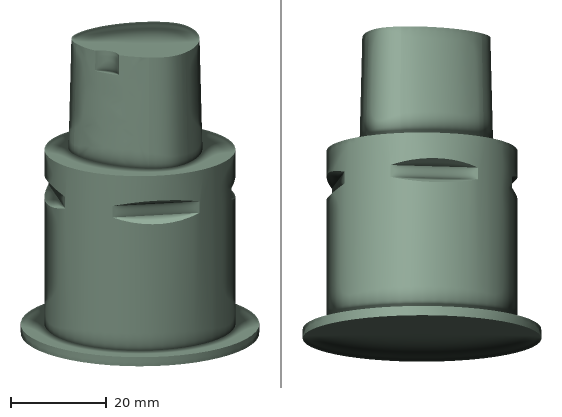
import cadquery as cq
import math

total_height = 64.0
flange_diameter = 50.0
flange_thickness = 2.0
body_diameter = 40.0
body_top = 40.0

shank_width = 28.0
lobe_rise = 0.95
lobe_count = 3
shank_taper = 1 / 20
points_per_face = 9

notch_radius = 3.7
notch_depth = 4.35
notch_inner_y = -10.8

slot_count = 4
slot_first_angle = 45.0
slot_floor_distance = 17.7
slot_floor_height = 2.5
slot_center_z = 32.0
slot_wall_angle = 30.0
slot_overrun = 0.65


def shank_point(width, angle, z):
    """Point of the lobed curve whose outward normal points along angle; one lobe faces +Y."""
    lobe_phase = lobe_count * (angle - math.pi / 2)
    reach = width / 2 + lobe_rise * math.cos(lobe_phase)
    slide = -lobe_count * lobe_rise * math.sin(lobe_phase)
    x = reach * math.cos(angle) - slide * math.sin(angle)
    y = reach * math.sin(angle) + slide * math.cos(angle)
    return cq.Vector(x, y, z)


def shank_section(width, z):
    """Closed lobed wire with one edge for each lobe and each flank between lobes."""
    edge_count = 2 * lobe_count
    edge_angle = 2 * math.pi / edge_count
    edges = []
    for edge in range(edge_count):
        start = edge * edge_angle
        end = start + edge_angle
        step = edge_angle / (points_per_face - 1)
        points = [shank_point(width, start + i * step, z) for i in range(points_per_face)]
        tangents = [cq.Vector(-math.sin(a), math.cos(a), 0) for a in (start, end)]
        edges.append(cq.Edge.makeSpline(points, tangents=tangents))
    return cq.Wire.assembleEdges(edges)


def make_shank():
    """Tapered lobed shank with the key notch in its top."""
    top_width = shank_width - shank_taper * (total_height - body_top)
    lower = shank_section(shank_width, body_top)
    upper = shank_section(top_width, total_height)
    shank = cq.Workplane(cq.Solid.makeLoft([lower, upper], True))
    notch = (
        cq.Workplane("XY", origin=(0, notch_inner_y - notch_radius, total_height - notch_depth))
        .circle(notch_radius)
        .extrude(notch_depth)
    )
    return shank.cut(notch)


def make_slot_cutter():
    """Flared slot cutter on the +X side, running along Y."""
    outer_distance = body_diameter / 2 + slot_overrun
    cutter_depth = outer_distance - slot_floor_distance
    half_floor = slot_floor_height / 2
    half_mouth = half_floor + cutter_depth * math.tan(math.radians(slot_wall_angle))
    return (
        cq.Workplane("XZ", origin=(0, 0, slot_center_z))
        .moveTo(slot_floor_distance, -half_floor)
        .lineTo(outer_distance, -half_mouth)
        .lineTo(outer_distance, half_mouth)
        .lineTo(slot_floor_distance, half_floor)
        .close()
        .extrude(body_diameter / 2, both=True)
    )


def make_holder():
    """Round body with gripper slots, carrying the lobed shank."""
    holder = (
        cq.Workplane("XY", origin=(0, 0, flange_thickness))
        .circle(body_diameter / 2)
        .extrude(body_top - flange_thickness)
    )
    cutter = make_slot_cutter()
    for i in range(slot_count):
        angle = slot_first_angle + i * 360 / slot_count
        holder = holder.cut(cutter.rotate((0, 0, 0), (0, 0, 1), angle))
    return holder.union(make_shank())


def make_flange():
    """Plain disc under the holder, forming the base."""
    return cq.Workplane("XY").circle(flange_diameter / 2).extrude(flange_thickness)


holder = make_holder()
flange = make_flange()

result = cq.Compound.makeCompound([holder.solids().val(), flange.val()])